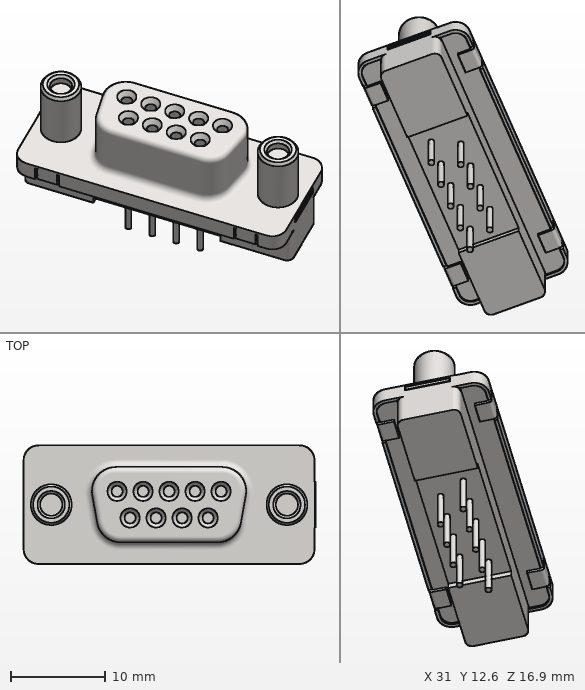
import cadquery as cq
import math


flange_length = 30.87
flange_width = 12.6
flange_thickness = 1.98
flange_corner_radius = 1.6
sheet = 0.37
core_bottom = -1.7

housing_width = 6.87
housing_bottom = -6.07
housing_corner_radius = 0.77
relief_length = 14.6
relief_height = 0.75

socket_height = 6.1
socket_width = 8.0
socket_mid_length = 15.9
socket_side_angle = 10
socket_corner_radius = 2.55
socket_rim_radius = 0.62
socket_base_radius = 0.77

contact_pitch = 2.75
row_spacing = 2.82
contact_rows = [(5, row_spacing / 2), (4, -row_spacing / 2)]
entry_radius = 1.02
contact_hole_radius = 0.6
entry_depth = 0.62
contact_hole_depth = 4.65
pin_diameter = 0.65
pin_bottom = -10.35
pin_embed = 0.3

post_spacing = 25.0
post_height = 6.55
post_radius = 2.17
post_chamfer_height = 0.37
post_chamfer_width = 0.25
bore_radius = 1.18
bore_chamfer = 0.28
bore_depth = 1.05

tab_spacing = 22.85
tab_width = 2.23
tab_gap = 0.28
tab_slot_top = -0.43
tab_bottom = core_bottom - sheet
tab_reach = 1.9
tab_bend_radius = 0.37

key_width = 4.95
key_top = -0.37
key_bottom = -0.93
key_depth = 0.1


def block(x_size, y_size, z_low, z_high):
    """Box centred on the Z axis between two heights."""
    return cq.Workplane("XY").workplane(offset=z_low).rect(x_size, y_size).extrude(z_high - z_low)


def make_flange():
    flange = block(flange_length, flange_width, -flange_thickness, 0)
    flange = flange.edges("|Z").fillet(flange_corner_radius)
    inside = block(flange_length - 2 * sheet, flange_width - 2 * sheet, -flange_thickness, core_bottom)
    inside = inside.edges("|Z").fillet(flange_corner_radius - sheet)
    return flange.cut(inside)


def make_housing():
    housing = block(flange_length, housing_width, housing_bottom, core_bottom)
    housing = housing.edges("|Z").fillet(housing_corner_radius)
    end_fill = block(flange_length, housing_width, -flange_thickness, core_bottom)
    relief = block(relief_length, housing_width, housing_bottom, housing_bottom + relief_height)
    return housing.union(end_fill).cut(relief)


def make_socket():
    half_width = socket_width / 2
    slant = half_width * math.tan(math.radians(socket_side_angle))
    far_half = socket_mid_length / 2 + slant
    near_half = socket_mid_length / 2 - slant
    outline = [
        (-near_half, -half_width),
        (near_half, -half_width),
        (far_half, half_width),
        (-far_half, half_width),
    ]
    socket = cq.Workplane("XY").workplane(offset=-sheet).polyline(outline).close()
    socket = socket.extrude(socket_height + sheet)
    socket = socket.edges("|Z").fillet(socket_corner_radius)
    return socket.faces(">Z").edges().fillet(socket_rim_radius)


def round_socket_base(body):
    reach_x = socket_mid_length / 2 + socket_base_radius
    reach_y = socket_width / 2 + socket_base_radius
    low_corner = (-reach_x, -reach_y, -socket_base_radius)
    high_corner = (reach_x, reach_y, socket_base_radius)
    base_zone = cq.selectors.BoxSelector(low_corner, high_corner)
    return body.edges(base_zone).fillet(socket_base_radius)


def contact_positions():
    return [
        ((i - (count - 1) / 2) * contact_pitch, y)
        for count, y in contact_rows
        for i in range(count)
    ]


def make_pins():
    relief_face = housing_bottom + relief_height
    pins = cq.Workplane("XY").workplane(offset=pin_bottom).pushPoints(contact_positions())
    return pins.circle(pin_diameter / 2).extrude(relief_face + pin_embed - pin_bottom)


def make_contact_hole():
    profile = [
        (0, 0),
        (entry_radius, 0),
        (contact_hole_radius, -entry_depth),
        (contact_hole_radius, -contact_hole_depth),
        (0, -contact_hole_depth),
    ]
    hole = cq.Workplane("XZ").polyline(profile).close().revolve(360, (0, 0), (0, 1))
    return hole.translate((0, 0, socket_height))


def make_post():
    bore_bottom = post_height - bore_depth
    profile = [
        (0, -sheet),
        (post_radius, -sheet),
        (post_radius, post_height - post_chamfer_height),
        (post_radius - post_chamfer_width, post_height),
        (bore_radius + bore_chamfer, post_height),
        (bore_radius, post_height - bore_chamfer),
        (bore_radius, bore_bottom),
        (0, bore_bottom),
    ]
    return cq.Workplane("XZ").polyline(profile).close().revolve(360, (0, 0), (0, 1))


def make_tab_opening():
    opening = block(tab_width + 2 * tab_gap, sheet, -flange_thickness, tab_slot_top)
    return opening.translate((0, (sheet - flange_width) / 2, 0))


def make_tab():
    """One L-shaped tab on the -Y side, bent under the core."""
    upright = block(tab_width, sheet, tab_bottom, tab_slot_top)
    upright = upright.translate((0, (sheet - flange_width) / 2, 0))
    foot = block(tab_width, tab_reach, tab_bottom, core_bottom)
    foot = foot.translate((0, (tab_reach - flange_width) / 2, 0))
    return upright.union(foot).edges("|X").edges("<Y and <Z").fillet(tab_bend_radius)


def make_key():
    """Shallow bar with sloped ends, standing on the plane X = 0 and pointing to +X."""
    half = key_width / 2
    outline = [(0, -half), (key_depth, key_depth - half), (key_depth, half - key_depth), (0, half)]
    bar = cq.Workplane("XY").workplane(offset=key_bottom).polyline(outline).close()
    return bar.extrude(key_top - key_bottom)


body = make_flange().union(make_housing()).union(make_socket())
body = round_socket_base(body)

contact_hole = make_contact_hole()
for x, y in contact_positions():
    body = body.cut(contact_hole.translate((x, y, 0)))
body = body.union(make_pins())

for side in (-1, 1):
    body = body.union(make_post().translate((side * post_spacing / 2, 0, 0)))

for turn in (0, 180):
    for side in (-1, 1):
        place = (side * tab_spacing / 2, 0, 0)
        opening = make_tab_opening().translate(place).rotate((0, 0, 0), (0, 0, 1), turn)
        tab = make_tab().translate(place).rotate((0, 0, 0), (0, 0, 1), turn)
        body = body.cut(opening).union(tab)

key = make_key()
body = body.union(key.translate((flange_length / 2, 0, 0)))
result = body.cut(key.translate((-flange_length / 2, 0, 0)))